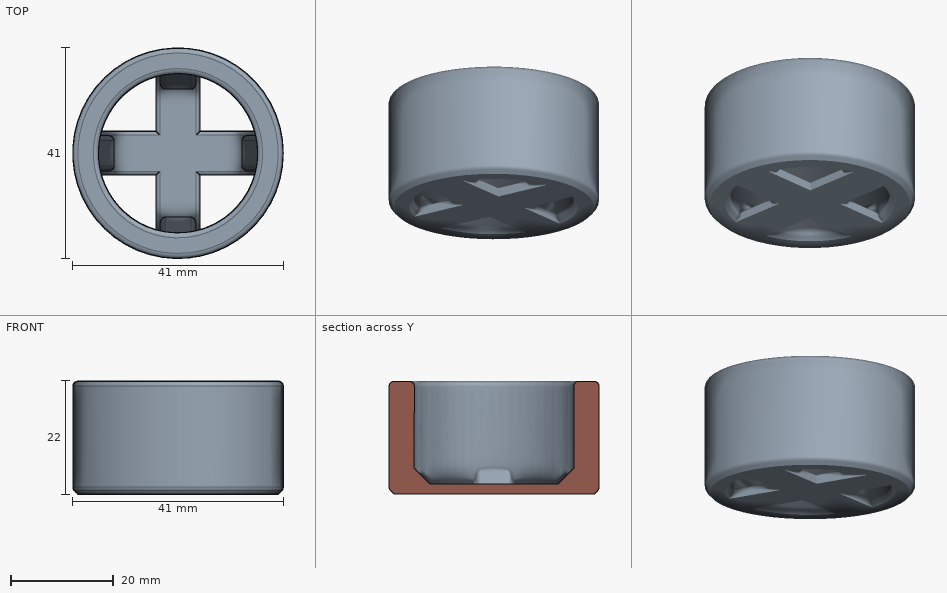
import cadquery as cq
import math

outer_diameter = 41.0
bore_diameter = 31.0
height = 22.0
rim_round = 1.0
base_chamfer = 1.0
base_blend = 1.0

arm_width = 8.55
arm_thickness = 2.0
arm_round = 0.75

gusset_width = 6.95
gusset_reach = 3.05
gusset_round = 1.0

outer_radius = outer_diameter / 2
bore_radius = bore_diameter / 2
wall_middle = (outer_radius + bore_radius) / 2


def make_ring():
    """Revolve the wall section, with a rounded rim and blended base chamfers on both sides."""
    diagonal = math.sqrt(0.5)
    eighth_turn = math.pi / 4
    blend_top = base_chamfer + base_blend * math.tan(eighth_turn / 2)
    blend_end_inset = base_blend * (1 - diagonal)
    blend_end_z = blend_top - base_blend * diagonal
    blend_middle_inset = base_blend * (1 - math.cos(eighth_turn / 2))
    blend_middle_z = blend_top - base_blend * math.sin(eighth_turn / 2)
    rim_base = height - rim_round
    rim_offset = rim_round * (1 - diagonal)
    section = (
        cq.Workplane("XZ")
        .moveTo(bore_radius + base_chamfer, 0)
        .lineTo(outer_radius - base_chamfer, 0)
        .lineTo(outer_radius - blend_end_inset, blend_end_z)
        .threePointArc((outer_radius - blend_middle_inset, blend_middle_z), (outer_radius, blend_top))
        .lineTo(outer_radius, rim_base)
        .threePointArc(
            (outer_radius - rim_offset, height - rim_offset),
            (outer_radius - rim_round, height),
        )
        .lineTo(bore_radius + rim_round, height)
        .threePointArc(
            (bore_radius + rim_offset, height - rim_offset),
            (bore_radius, rim_base),
        )
        .lineTo(bore_radius, blend_top)
        .threePointArc(
            (bore_radius + blend_middle_inset, blend_middle_z),
            (bore_radius + blend_end_inset, blend_end_z),
        )
        .close()
    )
    return section.revolve(360, (0, 0, 0), (0, 1, 0))


def make_cross():
    """Two crossing bars with rounded upper long edges, ending inside the ring wall."""
    bar_length = 2 * wall_middle
    bar = (
        cq.Workplane("XY")
        .box(bar_length, arm_width, arm_thickness, centered=(True, True, False))
        .edges("|X and >Z")
        .fillet(arm_round)
    )
    return bar.union(bar.rotate((0, 0, 0), (0, 0, 1), 90))


def make_gusset():
    """Wedge on the +X arm, with its two sloping edges rounded."""
    toe = bore_radius - gusset_reach
    buried_toe = toe - arm_thickness / 2
    buried_top = arm_thickness + wall_middle - toe
    return (
        cq.Workplane("XZ")
        .moveTo(buried_toe, arm_thickness / 2)
        .lineTo(wall_middle, arm_thickness / 2)
        .lineTo(wall_middle, buried_top)
        .close()
        .extrude(gusset_width / 2, both=True)
        .edges("not(|X or |Y or |Z)")
        .fillet(gusset_round)
    )


result = make_ring().union(make_cross())
gusset = make_gusset()
for quarter in range(4):
    result = result.union(gusset.rotate((0, 0, 0), (0, 0, 1), 90 * quarter))